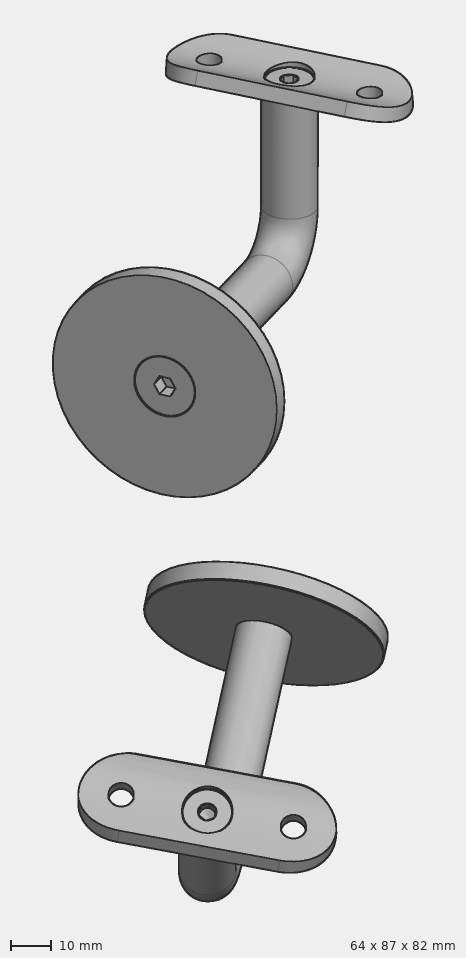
import cadquery as cq
import math


ROSETTE_RADIUS = 30.0
ROSETTE_THICKNESS = 5.0
ROSETTE_REAR_CHAMFER = 0.3

ROD_DIAMETER = 14.0
BEND_RADIUS = ROD_DIAMETER
ROD_UPRIGHT_Y = 75.0

RAIL_RADIUS = 24.2
RAIL_AXIS_Z = 73.9
SADDLE_THICKNESS = 3.8
SADDLE_OUTER_RADIUS = RAIL_RADIUS + SADDLE_THICKNESS
SADDLE_LENGTH = 64.0
SADDLE_WIDTH = 24.0
RAIL_HOLE_DIAMETER = 6.3
RAIL_HOLE_SPACING = 43.0

RIM_GAP = 0.22

WALL_HEAD_RADIUS = 8.0
WALL_SHANK_RADIUS = 4.0
WALL_SCREW_LENGTH = 20.0
WALL_SOCKET_WIDTH = 5.0
WALL_SOCKET_DEPTH = 4.35

SADDLE_HEAD_RADIUS = 6.0
SADDLE_SHANK_RADIUS = 3.05
SADDLE_SCREW_LENGTH = 16.0
SADDLE_SOCKET_WIDTH = 4.0
SADDLE_SOCKET_DEPTH = 2.3
SADDLE_SOCKET_TURN = 30
SADDLE_SOCKET_CONE_SLOPE = 30
SADDLE_HEAD_RECESS = 0.6
SADDLE_HEAD_Z = RAIL_AXIS_Z - RAIL_RADIUS - SADDLE_HEAD_RECESS

WALL_SCREW_PLANE = cq.Plane(origin=(0, 0, 0), xDir=(1, 0, 0), normal=(0, -1, 0))
SADDLE_SCREW_PLANE = cq.Plane(origin=(0, ROD_UPRIGHT_Y, SADDLE_HEAD_Z), xDir=(1, 0, 0), normal=(0, 0, 1))


def turned_screw(plane, head_profile, shank_radius, length):
    """Revolved screw shape: (radius, height) points of the head, then a 45 degree cone and the shank."""
    rim_radius, rim_height = head_profile[-1]
    cone_end = rim_height - (rim_radius - shank_radius)
    return (
        cq.Workplane(plane.rotated((90, 0, 0)))
        .moveTo(0, 0)
        .polyline(head_profile, includeCurrent=True)
        .lineTo(shank_radius, cone_end)
        .lineTo(shank_radius, -length)
        .lineTo(0, -length)
        .close()
        .revolve(360, (0, 0), (0, 1))
    )


def screw_blank(plane, head_radius, shank_radius, length):
    """Solid screw whose head has a short cylindrical rim."""
    return turned_screw(plane, [(head_radius, 0), (head_radius, -RIM_GAP)], shank_radius, length)


def screw_seat(plane, head_radius, shank_radius, length):
    """Space for a screw: the head cone runs on to the face plane and leaves a gap round the rim."""
    return turned_screw(plane, [(head_radius + RIM_GAP, 0)], shank_radius, length)


def hexagon_corner_radius(width):
    return width / math.sqrt(3)


def hex_socket(plane, width, depth):
    return cq.Workplane(plane).polygon(6, 2 * hexagon_corner_radius(width)).extrude(-depth)


def socket_cone(plane, radius, slope, start_depth):
    """Cone pointing into the head from the given depth; the slope is measured from the head face."""
    height = radius * math.tan(math.radians(slope))
    base_centre = plane.origin - plane.zDir * start_depth
    return cq.Solid.makeCone(radius, 0, height, base_centre, -plane.zDir)


def rail_cylinder(radius):
    """Cylinder round the handrail axis, longer than the saddle at both ends."""
    return (
        cq.Workplane("YZ", origin=(0, ROD_UPRIGHT_Y, RAIL_AXIS_Z))
        .circle(radius)
        .extrude(SADDLE_LENGTH, both=True)
    )


def make_wall_screw():
    blank = screw_blank(WALL_SCREW_PLANE, WALL_HEAD_RADIUS, WALL_SHANK_RADIUS, WALL_SCREW_LENGTH)
    return blank.cut(hex_socket(WALL_SCREW_PLANE, WALL_SOCKET_WIDTH, WALL_SOCKET_DEPTH))


def make_saddle_screw():
    """The socket has a conical lead-in at its mouth and a conical bottom."""
    plane = SADDLE_SCREW_PLANE.rotated((0, 0, SADDLE_SOCKET_TURN))
    mouth_radius = hexagon_corner_radius(SADDLE_SOCKET_WIDTH)
    bottom_radius = SADDLE_SOCKET_WIDTH / 2
    blank = screw_blank(plane, SADDLE_HEAD_RADIUS, SADDLE_SHANK_RADIUS, SADDLE_SCREW_LENGTH)
    return (
        blank.cut(hex_socket(plane, SADDLE_SOCKET_WIDTH, SADDLE_SOCKET_DEPTH))
        .cut(socket_cone(plane, mouth_radius, SADDLE_SOCKET_CONE_SLOPE, 0))
        .cut(socket_cone(plane, bottom_radius, SADDLE_SOCKET_CONE_SLOPE, SADDLE_SOCKET_DEPTH))
    )


def make_rosette(wall_seat):
    disc = cq.Workplane("XZ").circle(ROSETTE_RADIUS).extrude(-ROSETTE_THICKNESS)
    return disc.faces(">Y").edges().chamfer(ROSETTE_REAR_CHAMFER).cut(wall_seat)


def make_rod(wall_seat, saddle_seat):
    """The rod runs from the rosette's rear face to the saddle, where its end is coped to fit."""
    path = (
        cq.Workplane("YZ")
        .moveTo(ROSETTE_THICKNESS, 0)
        .lineTo(ROD_UPRIGHT_Y - BEND_RADIUS, 0)
        .radiusArc((ROD_UPRIGHT_Y, BEND_RADIUS), -BEND_RADIUS)
        .lineTo(ROD_UPRIGHT_Y, RAIL_AXIS_Z - RAIL_RADIUS)
    )
    rod = cq.Workplane("XZ", origin=(0, ROSETTE_THICKNESS, 0)).circle(ROD_DIAMETER / 2).sweep(path)
    return rod.cut(rail_cylinder(SADDLE_OUTER_RADIUS)).cut(wall_seat).cut(saddle_seat)


def saddle_shell():
    """The slot outline lies on the outer cylinder; its edge walls run radially up to the rail surface."""
    slot = (
        cq.Workplane("XY", origin=(0, ROD_UPRIGHT_Y, RAIL_AXIS_Z))
        .slot2D(SADDLE_LENGTH, SADDLE_WIDTH)
        .extrude(-2 * SADDLE_OUTER_RADIUS)
    )
    outer_face = rail_cylinder(SADDLE_OUTER_RADIUS).intersect(slot).faces("<Z").val()
    return cq.Workplane(outer_face.thicken(-SADDLE_THICKNESS))


def make_saddle(saddle_seat):
    head_recess = (
        cq.Workplane(SADDLE_SCREW_PLANE).circle(SADDLE_HEAD_RADIUS + RIM_GAP).extrude(SADDLE_THICKNESS)
    )
    rail_holes = (
        cq.Workplane("XY", origin=(0, ROD_UPRIGHT_Y, RAIL_AXIS_Z))
        .rarray(RAIL_HOLE_SPACING, 0.9, 2, 1)
        .circle(RAIL_HOLE_DIAMETER / 2)
        .extrude(-2 * SADDLE_OUTER_RADIUS)
    )
    return saddle_shell().cut(rail_holes).cut(head_recess).cut(saddle_seat)


wall_screw_seat = screw_seat(WALL_SCREW_PLANE, WALL_HEAD_RADIUS, WALL_SHANK_RADIUS, WALL_SCREW_LENGTH)
saddle_screw_seat = screw_seat(
    SADDLE_SCREW_PLANE, SADDLE_HEAD_RADIUS, SADDLE_SHANK_RADIUS, SADDLE_SCREW_LENGTH
)

rosette = make_rosette(wall_screw_seat)
rod = make_rod(wall_screw_seat, saddle_screw_seat)
saddle = make_saddle(saddle_screw_seat)
wall_screw = make_wall_screw()
saddle_screw = make_saddle_screw()

bodies = [rosette, rod, saddle, wall_screw, saddle_screw]
result = cq.Compound.makeCompound([body.solids().val() for body in bodies])